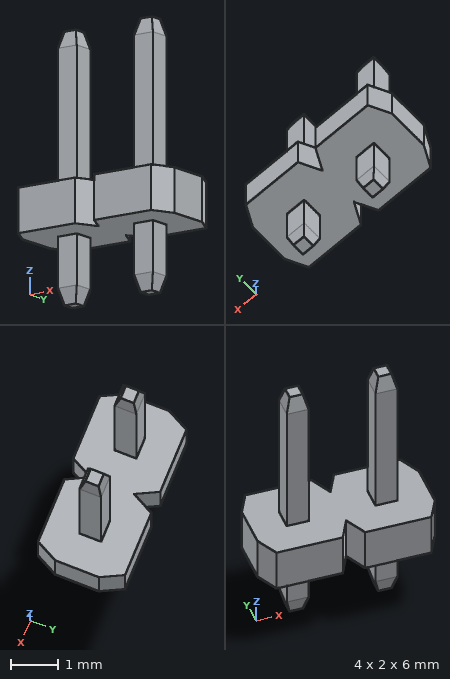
import cadquery as cq

pin_count = 2
body_length = 4.0
pitch = body_length / pin_count
body_width = 2.0
body_height = 1.0
corner_x = 0.25
corner_y = 0.5

pin_length = 6.0
pin_side = 0.5
tip_side = 0.3
tip_height = 0.37
tail_length = 1.5


def body_segment(center_x):
    """Housing block for one pin, with its four corners cut at a slant."""
    half_x = pitch / 2
    half_y = body_width / 2
    flat_x = half_x - corner_x
    flat_y = half_y - corner_y
    outline = [
        (-half_x, -flat_y),
        (-flat_x, -half_y),
        (flat_x, -half_y),
        (half_x, -flat_y),
        (half_x, flat_y),
        (flat_x, half_y),
        (-flat_x, half_y),
        (-half_x, flat_y),
    ]
    segment = cq.Workplane("XY").polyline(outline).close().extrude(body_height)
    return segment.translate((center_x, 0, tail_length))


def pin(center_x):
    """Square pin with a blunt pyramid tip at each end."""
    shaft_length = pin_length - 2 * tip_height
    shaft = cq.Workplane("XY").workplane(offset=tip_height).rect(pin_side, pin_side).extrude(shaft_length)
    lower_tip = (
        cq.Workplane("XY")
        .rect(tip_side, tip_side)
        .workplane(offset=tip_height)
        .rect(pin_side, pin_side)
        .loft(ruled=True)
    )
    upper_tip = lower_tip.rotate((0, 0, pin_length / 2), (1, 0, pin_length / 2), 180)
    return shaft.union(lower_tip).union(upper_tip).translate((center_x, 0, 0))


pin_positions = [(i - (pin_count - 1) / 2) * pitch for i in range(pin_count)]

header = cq.Workplane("XY")
for x in pin_positions:
    header = header.union(body_segment(x))
for x in pin_positions:
    header = header.union(pin(x))

result = header.clean()